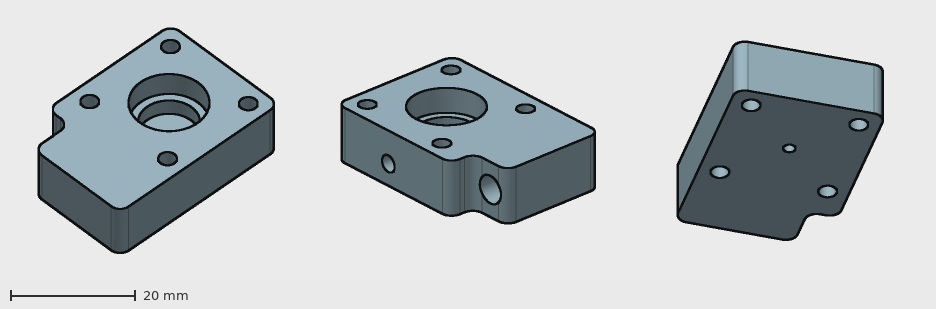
import cadquery as cq

width = 25.0
length = 35.5
height = 10.0
corner_radius = 2.0

notch_width = 5.0
notch_length = 8.0

bore_x = width / 2
bore_y = length - width / 2
upper_bore_diameter = 13.0
upper_bore_depth = 4.5
lower_bore_diameter = 10.0
bore_depth = 7.53
drain_diameter = 2.0

mount_diameter = 3.0
mount_spacing = 18.0

port_diameter = bore_depth - upper_bore_depth
port_z = height - (upper_bore_depth + bore_depth) / 2
port_depth = 5.0

socket_diameter = 5.0
socket_y = notch_length / 2
socket_z = height / 2
socket_depth = 10.0


def vertical_hole(x, y, diameter, depth):
    """Cylinder sunk from the top face."""
    return cq.Workplane("XY", origin=(x, y, height - depth)).circle(diameter / 2).extrude(depth)


def side_hole(x, y, z, diameter, depth):
    """Cylinder running in +X from the given start point."""
    return cq.Workplane("YZ", origin=(x, y, z)).circle(diameter / 2).extrude(depth)


outline = [
    (notch_width, 0),
    (width, 0),
    (width, length),
    (0, length),
    (0, notch_length),
    (notch_width, notch_length),
]
result = cq.Workplane("XY").polyline(outline).close().extrude(height)
result = result.edges("|Z").fillet(corner_radius)

for diameter, depth in (
    (upper_bore_diameter, upper_bore_depth),
    (lower_bore_diameter, bore_depth),
    (drain_diameter, height),
):
    result = result.cut(vertical_hole(bore_x, bore_y, diameter, depth))

for side_x in (-1, 1):
    for side_y in (-1, 1):
        mount_x = bore_x + side_x * mount_spacing / 2
        mount_y = bore_y + side_y * mount_spacing / 2
        result = result.cut(vertical_hole(mount_x, mount_y, mount_diameter, height))

result = result.cut(side_hole(0, bore_y, port_z, port_diameter, port_depth))

result = result.cut(side_hole(0, socket_y, socket_z, socket_diameter, notch_width + socket_depth))